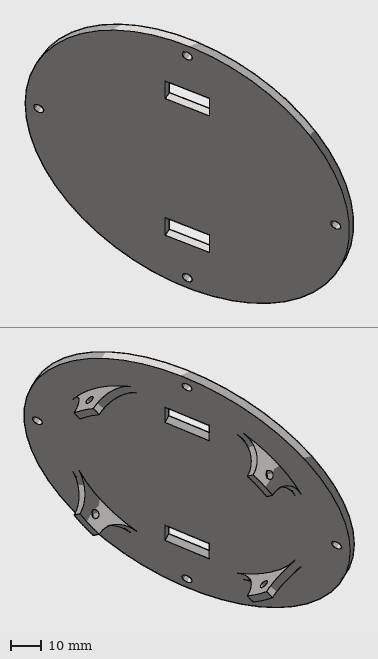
import cadquery as cq

plate_diameter = 120
plate_thickness = 3.0

rim_hole_count = 4
rim_hole_diameter = 3.6
rim_hole_radius = 55.0

window_width = 16.3
window_height = 8.6
window_offset = 33.8

tab_count = 4
tab_outer_radius = 46.8
tab_inner_radius = 43.8
tab_height = 10.0
tab_tip_half_width = 5.0
tab_flare_radius = tab_height
tab_hole_diameter = 3.0
tab_hole_height = 5.4
first_tab_angle = 45
back_y = plate_thickness + tab_height


def xz_plane(y):
    """Sketch plane facing +Y at depth y; its local Y points along +Z."""
    return cq.Workplane(cq.Plane((0, y, 0), xDir=(-1, 0, 0), normal=(0, 1, 0)))


def make_plate():
    plate = xz_plane(0).circle(plate_diameter / 2).extrude(plate_thickness)
    rim_holes = (
        xz_plane(0)
        .polarArray(rim_hole_radius, 0, 360, rim_hole_count)
        .circle(rim_hole_diameter / 2)
        .extrude(plate_thickness)
    )
    windows = (
        xz_plane(0)
        .pushPoints([(0, window_offset), (0, -window_offset)])
        .rect(window_width, window_height)
        .extrude(plate_thickness)
    )
    return plate.cut(rim_holes).cut(windows)


def make_tab():
    """Tab at the +Z position: a flared profile trimmed to a ring, with a radial hole."""
    base_half_width = tab_tip_half_width + tab_flare_radius
    root_y = plate_thickness / 2
    profile = (
        cq.Workplane("XY")
        .moveTo(-base_half_width, root_y)
        .lineTo(-base_half_width, plate_thickness)
        .radiusArc((-tab_tip_half_width, back_y), -tab_flare_radius)
        .lineTo(tab_tip_half_width, back_y)
        .radiusArc((base_half_width, plate_thickness), -tab_flare_radius)
        .lineTo(base_half_width, root_y)
        .close()
        .extrude(plate_diameter / 2)
    )
    ring = xz_plane(0).circle(tab_outer_radius).circle(tab_inner_radius).extrude(back_y)
    hole = (
        cq.Workplane("XY")
        .center(0, plate_thickness + tab_hole_height)
        .circle(tab_hole_diameter / 2)
        .extrude(plate_diameter / 2)
    )
    return profile.intersect(ring).cut(hole)


result = make_plate()
tab = make_tab()
for index in range(tab_count):
    angle = first_tab_angle + index * 360 / tab_count
    result = result.union(tab.rotate((0, 0, 0), (0, 1, 0), angle))